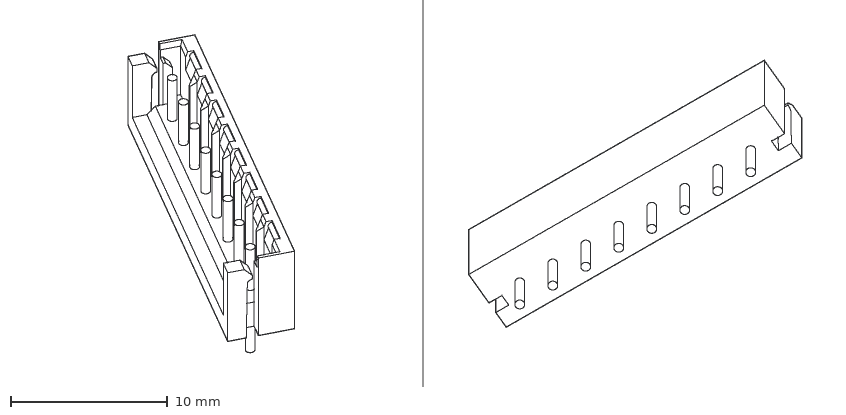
import cadquery as cq

LENGTH = 22.4
DEPTH = 4.45
HOUSING_HEIGHT = 6.48
BACK_Y = DEPTH / 2
FRONT_Y = -DEPTH / 2

PIN_COUNT = 8
PIN_ROW_LENGTH = 17.5
PIN_PITCH = PIN_ROW_LENGTH / (PIN_COUNT - 1)
PIN_DIAMETER = 0.63
PIN_TOP_Z = 5.4
PIN_TAIL_LENGTH = 3.18

BACK_WALL = 1.05
END_WALL = 0.35
FLOOR_Z = 2.02
LEAD_IN_WIDTH = 0.13
LEAD_IN_DEPTH = 0.4
CAVITY_BACK_Y = BACK_Y - BACK_WALL
CAVITY_HALF_LENGTH = LENGTH / 2 - END_WALL
HOUSING_FRONT_Y = -0.18

LEDGE_BEVEL_START_Y = -0.7
LEDGE_BEVEL_END_Y = -1.25
LEDGE_Z = 1.43
ARM_WIDTH = 0.99
ARM_HEIGHT = 5.74
ARM_BACK_Y = -0.92
ARM_FOOT_BACK_Y = -0.99
HOOK_TIP_Y = -0.58
HOOK_CREST_Y = -1.12
HOOK_TIP_TOP_Z = 5.13
HOOK_TIP_BOTTOM_Z = 4.82
HOOK_ROOT_Z = 4.53
HOOK_UNDERSIDE_RADIUS = 0.35
LEDGE_HALF_LENGTH = LENGTH / 2 - ARM_WIDTH

KEEPER_HEIGHT = 5.45
KEEPER_BACK_Y = 0.45
KEEPER_BEVEL_LENGTH = 0.45
KEEPER_BEVEL_DROP = 0.5

RIB_BASE_WIDTH = 0.76
RIB_TIP_WIDTH = 0.13
RIB_DEPTH = 0.4
RIB_SLOPE_DROP = 0.54

POCKET_BOTTOM_Z = 5.0
POCKET_DEPTH = 0.54
POCKET_SLOPE_DEPTH = 0.35
END_POCKET_REACH = 0.96
BEAD_RADIUS = 0.27
BEAD_Z = 6.07

OVERLAP = 0.22


def pin_x(position):
    """X of a pin; half positions lie midway between neighbouring pins."""
    return (position - (PIN_COUNT - 1) / 2) * PIN_PITCH


def prism_along_x(points, x_start, x_end):
    """Extrude a closed (Y, Z) outline from x_start to x_end."""
    return cq.Workplane("YZ", origin=(x_start, 0, 0)).polyline(points).close().extrude(x_end - x_start)


def block(x_start, x_end, y_start, y_end, z_start, z_end):
    size = (x_end - x_start, y_end - y_start, z_end - z_start)
    return cq.Workplane("XY", origin=(x_start, y_start, z_start)).box(*size, centered=False)


def make_housing():
    """Tall rear shell, open at the front, with a tapered lead-in round its mouth."""
    half = LENGTH / 2
    shell = block(-half, half, HOUSING_FRONT_Y, BACK_Y, 0, HOUSING_HEIGHT)
    cavity = block(
        -CAVITY_HALF_LENGTH, CAVITY_HALF_LENGTH,
        HOUSING_FRONT_Y - OVERLAP, CAVITY_BACK_Y,
        FLOOR_Z, HOUSING_HEIGHT,
    )
    mouth_depth = 2 * (CAVITY_BACK_Y - HOUSING_FRONT_Y)
    lead_in = (
        cq.Workplane("XY", origin=(0, HOUSING_FRONT_Y, HOUSING_HEIGHT - LEAD_IN_DEPTH))
        .rect(2 * CAVITY_HALF_LENGTH, mouth_depth)
        .workplane(offset=LEAD_IN_DEPTH)
        .rect(2 * (CAVITY_HALF_LENGTH + LEAD_IN_WIDTH), mouth_depth + 2 * LEAD_IN_WIDTH)
        .loft(ruled=True)
    )
    return shell.cut(cavity).cut(lead_in)


def make_ledge():
    """Low front ledge that continues the cavity floor and bevels down to the front."""
    outline = [
        (HOUSING_FRONT_Y, 0),
        (HOUSING_FRONT_Y, FLOOR_Z),
        (LEDGE_BEVEL_START_Y, FLOOR_Z),
        (LEDGE_BEVEL_END_Y, LEDGE_Z),
        (FRONT_Y, LEDGE_Z),
        (FRONT_Y, 0),
    ]
    return prism_along_x(outline, -LEDGE_HALF_LENGTH, LEDGE_HALF_LENGTH)


def make_arm(x_start):
    """Upright latch arm with a hook facing the housing across an open slot."""
    return (
        cq.Workplane("YZ", origin=(x_start, 0, 0))
        .moveTo(FRONT_Y, 0)
        .lineTo(FRONT_Y, ARM_HEIGHT)
        .lineTo(HOOK_CREST_Y, ARM_HEIGHT)
        .lineTo(HOOK_TIP_Y, HOOK_TIP_TOP_Z)
        .lineTo(HOOK_TIP_Y, HOOK_TIP_BOTTOM_Z)
        .radiusArc((ARM_BACK_Y, HOOK_ROOT_Z), -HOOK_UNDERSIDE_RADIUS)
        .lineTo(ARM_FOOT_BACK_Y, 0)
        .close()
        .extrude(ARM_WIDTH)
    )


def make_keeper(x_start, x_end):
    """Block filling the front corner of the cavity, bevelled on its rear top edge."""
    outline = [
        (HOUSING_FRONT_Y, 0),
        (HOUSING_FRONT_Y, KEEPER_HEIGHT),
        (KEEPER_BACK_Y - KEEPER_BEVEL_LENGTH, KEEPER_HEIGHT),
        (KEEPER_BACK_Y, KEEPER_HEIGHT - KEEPER_BEVEL_DROP),
        (KEEPER_BACK_Y, 0),
    ]
    return prism_along_x(outline, x_start, x_end)


def make_rib(x_center):
    """Tapered vertical rib whose top slopes down towards its narrow tip."""
    tip_y = CAVITY_BACK_Y - RIB_DEPTH
    top_z = HOUSING_HEIGHT - LEAD_IN_DEPTH
    plan = [
        (x_center - RIB_BASE_WIDTH / 2, CAVITY_BACK_Y),
        (x_center - RIB_TIP_WIDTH / 2, tip_y),
        (x_center + RIB_TIP_WIDTH / 2, tip_y),
        (x_center + RIB_BASE_WIDTH / 2, CAVITY_BACK_Y),
    ]
    column = cq.Workplane("XY").polyline(plan).close().extrude(top_z)
    above_slope = prism_along_x(
        [(CAVITY_BACK_Y, top_z), (tip_y, top_z - RIB_SLOPE_DROP), (tip_y, top_z)],
        x_center - RIB_BASE_WIDTH,
        x_center + RIB_BASE_WIDTH,
    )
    return column.cut(above_slope)


def make_pocket(x_start, x_end):
    """Cutter for a pocket: a sloped floor, an upright back face and a round bead where they meet."""
    pocket_back_y = CAVITY_BACK_Y + POCKET_DEPTH
    recess = prism_along_x(
        [
            (CAVITY_BACK_Y, POCKET_BOTTOM_Z),
            (CAVITY_BACK_Y + POCKET_SLOPE_DEPTH, BEAD_Z),
            (pocket_back_y, BEAD_Z),
            (pocket_back_y, HOUSING_HEIGHT),
            (CAVITY_BACK_Y, HOUSING_HEIGHT),
        ],
        x_start,
        x_end,
    )
    bead = (
        cq.Workplane("YZ", origin=(x_start, pocket_back_y, BEAD_Z))
        .circle(BEAD_RADIUS)
        .extrude(x_end - x_start)
    )
    return recess.cut(bead)


def make_pin(x_center):
    return (
        cq.Workplane("XY", origin=(x_center, 0, -PIN_TAIL_LENGTH))
        .circle(PIN_DIAMETER / 2)
        .extrude(PIN_TAIL_LENGTH + PIN_TOP_Z)
    )


result = make_housing().union(make_ledge())

result = result.union(make_arm(-LENGTH / 2)).union(make_arm(LEDGE_HALF_LENGTH))

result = result.union(make_keeper(-CAVITY_HALF_LENGTH, -LEDGE_HALF_LENGTH))
result = result.union(make_keeper(LEDGE_HALF_LENGTH, CAVITY_HALF_LENGTH))

for gap in range(PIN_COUNT - 1):
    result = result.union(make_rib(pin_x(gap + 0.5)))

pocket_reach = (PIN_PITCH - RIB_BASE_WIDTH) / 2
for pin in range(PIN_COUNT):
    left_reach = END_POCKET_REACH if pin == 0 else pocket_reach
    right_reach = END_POCKET_REACH if pin == PIN_COUNT - 1 else pocket_reach
    result = result.cut(make_pocket(pin_x(pin) - left_reach, pin_x(pin) + right_reach))

for pin in range(PIN_COUNT):
    result = result.union(make_pin(pin_x(pin)))